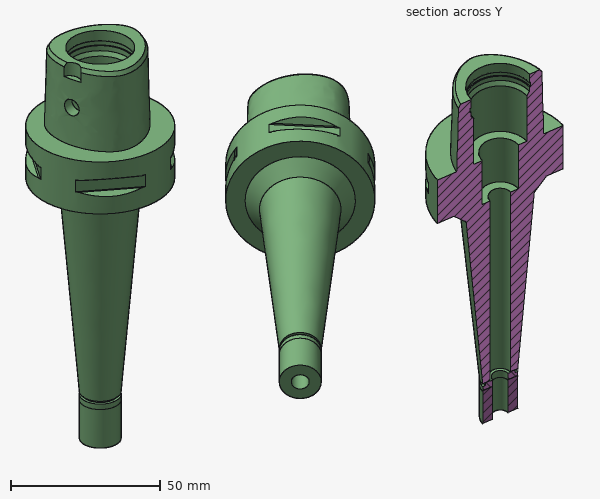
import cadquery as cq
import math

total_length = 150.0
shank_length = 30.0
flange_radius = total_length / 6
flange_thickness = 20.0
relief_cone_height = 5.0
relief_cone_radius = 18.5
arm_top_radius = 13.6
arm_tip_radius = 7.0
nose_radius = arm_tip_radius
nose_length = 14.8
collar_length = 3.2

nose_bottom = shank_length - total_length
nose_top = nose_bottom + nose_length
arm_tip = nose_top + collar_length
arm_top = -flange_thickness - relief_cone_height

shank_mean_radius = 17.7
lobe_height = 1.0
shank_taper = 1 / 40
shank_tip_bevel_height = 1.5
shank_tip_bevel_inset = 0.9
outline_points = 24

mouth_radius = 11.5
ring_groove_radius = 12.0
ring_groove_depth = 4.0
ring_groove_width = 1.8
thread_radius = 10.5
lead_in_start = 7.8
lead_in_end = 9.3
thread_depth = shank_length
cavity_radius = 7.2
cavity_depth = shank_length + flange_thickness
holder_passage_radius = 4.0
coolant_radius = 3.0

notch_radius = 3.9
notch_depth = 5.1
notch_innermost = 13.6
side_hole_radius = 3.0
side_hole_depth_from_tip = 15.8
side_hole_floor = 12.0

slot_count = 4
slot_depth = 3.0
slot_floor_offset = flange_radius - slot_depth
slot_floor_height = 4.5
slot_wall_depth = 0.6
slot_flare_angle = math.radians(25)

neck_height = 1.0
neck_radius = 6.0


def lobed_wire(mean_radius, z):
    """Closed curve whose tangent lies mean_radius + lobe_height * cos(3 * angle) from the axis."""
    points = []
    for i in range(outline_points):
        angle = math.pi + 2 * math.pi * i / outline_points
        along = mean_radius * math.cos(angle) + lobe_height * (2 * math.cos(2 * angle) - math.cos(4 * angle))
        across = mean_radius * math.sin(angle) - lobe_height * (2 * math.sin(2 * angle) + math.sin(4 * angle))
        points.append(cq.Vector(-across, along, z))
    return cq.Wire.assembleEdges([cq.Edge.makeSpline(points, periodic=True)])


def make_shank():
    bevel_z = shank_length - shank_tip_bevel_height
    bevel_radius = shank_mean_radius - shank_taper * bevel_z
    base = lobed_wire(shank_mean_radius, 0)
    bevel = lobed_wire(bevel_radius, bevel_z)
    tip = lobed_wire(bevel_radius - shank_tip_bevel_inset, shank_length)
    taper = cq.Solid.makeLoft([base, bevel], True)
    tip_bevel = cq.Solid.makeLoft([bevel, tip], True)
    return cq.Workplane(taper).union(cq.Workplane(tip_bevel))


def make_flange_and_arm():
    return (
        cq.Workplane("XZ")
        .polyline([
            (0, 0),
            (flange_radius, 0),
            (flange_radius, -flange_thickness),
            (relief_cone_radius, -flange_thickness),
            (arm_top_radius, arm_top),
            (arm_tip_radius, arm_tip),
            (0, arm_tip),
        ])
        .close()
        .revolve(360, (0, 0), (0, 1))
    )


def make_bore():
    groove_top = shank_length - ring_groove_depth
    groove_bottom = groove_top - ring_groove_width
    return (
        cq.Workplane("XZ")
        .polyline([
            (0, shank_length),
            (mouth_radius, shank_length),
            (mouth_radius, groove_top),
            (ring_groove_radius, groove_top),
            (ring_groove_radius, groove_bottom),
            (mouth_radius, groove_bottom),
            (mouth_radius, shank_length - lead_in_start),
            (thread_radius, shank_length - lead_in_end),
            (thread_radius, shank_length - thread_depth),
            (cavity_radius, shank_length - thread_depth),
            (cavity_radius, shank_length - cavity_depth),
            (holder_passage_radius, shank_length - cavity_depth),
            (holder_passage_radius, arm_tip),
            (0, arm_tip),
        ])
        .close()
        .revolve(360, (0, 0), (0, 1))
    )


def make_drive_notch():
    return (
        cq.Workplane("XY", origin=(0, -notch_innermost - notch_radius, shank_length - notch_depth))
        .circle(notch_radius)
        .extrude(notch_depth)
    )


def make_side_hole():
    return (
        cq.Workplane("XZ", origin=(0, -side_hole_floor, shank_length - side_hole_depth_from_tip))
        .circle(side_hole_radius)
        .extrude(flange_radius - side_hole_floor)
    )


def make_gripper_slot(angle):
    """Slot across the flange rim, with a flat floor and side walls that flare at the mouth."""
    mid_z = -flange_thickness / 2
    half_floor = slot_floor_height / 2
    flare_start = slot_floor_offset + slot_wall_depth
    half_mouth = half_floor + (flange_radius - flare_start) * math.tan(slot_flare_angle)
    return (
        cq.Workplane("XZ", origin=(0, flange_radius, 0))
        .polyline([
            (slot_floor_offset, mid_z - half_floor),
            (slot_floor_offset, mid_z + half_floor),
            (flare_start, mid_z + half_floor),
            (flange_radius, mid_z + half_mouth),
            (flange_radius, mid_z - half_mouth),
            (flare_start, mid_z - half_floor),
        ])
        .close()
        .extrude(2 * flange_radius)
        .rotate((0, 0, 0), (0, 0, 1), angle)
    )


def make_holder():
    body = make_flange_and_arm().union(make_shank())
    body = body.cut(make_bore()).cut(make_drive_notch()).cut(make_side_hole())
    slot_spacing = 360 / slot_count
    for i in range(slot_count):
        body = body.cut(make_gripper_slot(slot_spacing / 2 + i * slot_spacing))
    return body


def make_collar():
    ring_height = collar_length - neck_height
    return (
        cq.Workplane("XY", origin=(0, 0, nose_top))
        .circle(nose_radius)
        .extrude(ring_height)
        .faces(">Z")
        .workplane()
        .circle(neck_radius)
        .extrude(neck_height)
        .faces(">Z")
        .workplane()
        .circle(coolant_radius)
        .cutThruAll()
    )


def make_nose():
    return (
        cq.Workplane("XY", origin=(0, 0, nose_bottom))
        .circle(nose_radius)
        .circle(coolant_radius)
        .extrude(nose_length)
    )


holder = make_holder()
collar = make_collar()
nose = make_nose()

result = cq.Compound.makeCompound([holder.val(), collar.val(), nose.val()])